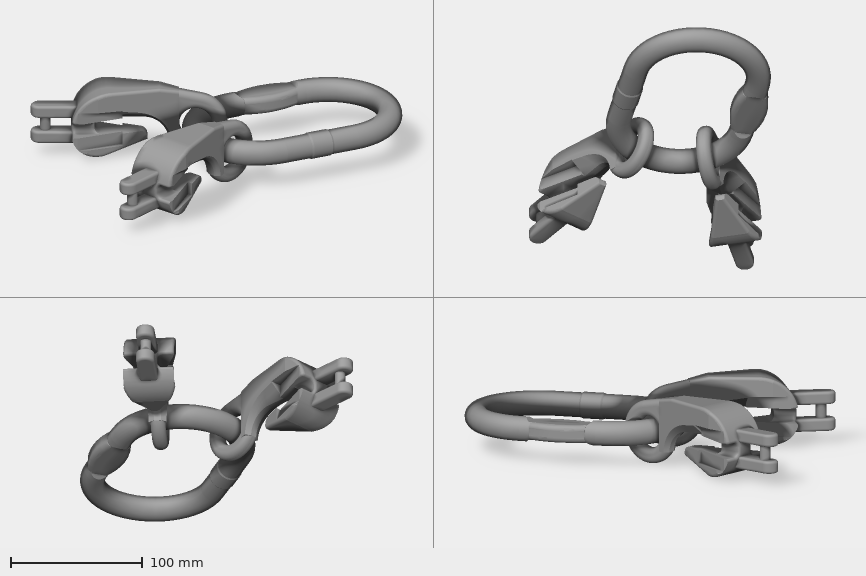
import cadquery as cq
import math

ROD_DIA = 19.0
RING_BEND_RADIUS = 47.0
RING_STRAIGHT = 60.0
COLLAR_DIA = 20.3
COLLAR_LENGTH = 18.2
COLLAR_TAPER = 1.3
FLAT_HEIGHT = 7.0
FLAT_LENGTH = 46.0
FLAT_RAMP = 3.2
SWELL_LENGTH = 44.0
SWELL_WIDTH = 27.3
SWELL_FILLET = 4.3

HOOK_TURN = 25.0
PIN_X = 78.5
PIN_Y = -170.5

EYE_X = 114.3
EYE_RADIUS = 24.4
EYE_BAR_WIDTH = 11.2
EYE_BAR_DEPTH = 12.0
EYE_FILLET = 4.8

HEAD_WIDTH = 38.8
HEAD_FRONT = 19.8
ARM_TAPER_X = 40.2
NECK_X = 101.7
TOP = 30.5
TOP_FRONT_X = 50.0
TOP_BACK_X = 87.0
EDGE_FILLET = 2.5

JAW_BOTTOM = -22.8
JAW_FRONT_RADIUS = 21.5
JAW_HEEL_X = 44.2
JAW_TIP_X = 77.5
JAW_TIP_BOTTOM = -13.5
JAW_TIP_ROUND = 5.0
JAW_TAPER_X = 32.0
JAW_TIP_WIDTH = 7.0

SLOT_HEIGHT = 11.0
SLOT_HALF = SLOT_HEIGHT / 2
SLOT_END_X = 37.5
SLOT_CORNER = 4.0
THROAT_X = 75.5
THROAT_MIDDLE = (88.3, -0.3)
THROAT_END_X = 93.7
BRIDGE_WIDTH = 14.0
BRIDGE_FILLET = 3.7

POCKET_HALF = 15.5
POCKET_FRONT = (24.0, 19.5)
POCKET_BACK = (59.0, 6.0)
JAW_POCKET_BACK_X = 57.5
JAW_POCKET_CURVE = (49.5, -12.8)
JAW_POCKET_FLOOR_BACK_X = 44.2

FLANK_INNER_Y = 2.7
FLANK_OUTER_Y = 16.0
FLANK_X = 65.5
FLANK_MIDDLE = (90.5, 8.0)
FLANK_END = (101.7, -14.7)
LIP_FILLET = 2.0

EAR_WIDTH = 14.0
EAR_TIP_X = -4.0
EAR_ROOT_X = 26.8
EAR_OUTER = 15.3
EAR_FILLET = 2.1
PIN_DIA = 8.0

SIDEWAYS = HEAD_WIDTH
SIN_45 = math.sin(math.radians(45))


def make_ring():
    """Bent rod with a collar on one leg and a flattened, bulging stretch on the other."""
    half_leg = RING_STRAIGHT / 2
    path = (
        cq.Workplane("XY")
        .moveTo(RING_BEND_RADIUS, -half_leg)
        .lineTo(RING_BEND_RADIUS, half_leg)
        .threePointArc((0, half_leg + RING_BEND_RADIUS), (-RING_BEND_RADIUS, half_leg))
        .lineTo(-RING_BEND_RADIUS, -half_leg)
        .threePointArc((0, -half_leg - RING_BEND_RADIUS), (RING_BEND_RADIUS, -half_leg))
        .close()
    )
    rod = cq.Workplane("XZ", origin=(RING_BEND_RADIUS, -half_leg, 0)).circle(ROD_DIA / 2)
    ring = rod.sweep(path)
    ring = ring.union(make_collar()).cut(make_flat(1)).cut(make_flat(-1))
    return ring.union(make_swell())


def make_collar():
    """Raised band with tapered ends around the +X leg."""
    half = COLLAR_LENGTH / 2
    rod_radius = ROD_DIA / 2
    collar_radius = COLLAR_DIA / 2
    return (
        cq.Workplane("XY")
        .polyline([
            (0, -half), (rod_radius, -half), (collar_radius, COLLAR_TAPER - half),
            (collar_radius, half - COLLAR_TAPER), (rod_radius, half), (0, half),
        ])
        .close()
        .revolve(360, (0, 0, 0), (0, 1, 0))
        .translate((RING_BEND_RADIUS, 0, 0))
    )


def make_swell():
    """Lens-shaped plate with rounded sides, as thick as the flattened rod."""
    half = SWELL_LENGTH / 2
    rod_radius = ROD_DIA / 2
    plate = (
        cq.Workplane("XY", origin=(0, 0, -FLAT_HEIGHT))
        .moveTo(rod_radius, -half)
        .threePointArc((SWELL_WIDTH / 2, 0), (rod_radius, half))
        .lineTo(-rod_radius, half)
        .threePointArc((-SWELL_WIDTH / 2, 0), (-rod_radius, -half))
        .close()
        .extrude(2 * FLAT_HEIGHT)
    )
    plate = plate.edges("%CIRCLE").fillet(SWELL_FILLET)
    return plate.translate((-RING_BEND_RADIUS, 0, 0))


def make_flat(side):
    """Cutter for one flat, with sloping ends."""
    half = FLAT_LENGTH / 2
    above = ROD_DIA
    slope = FLAT_RAMP / (ROD_DIA / 2 - FLAT_HEIGHT)
    outer_half = half + slope * (above - FLAT_HEIGHT)
    return (
        cq.Workplane("YZ")
        .polyline([
            (-half, side * FLAT_HEIGHT), (half, side * FLAT_HEIGHT),
            (outer_half, side * above), (-outer_half, side * above),
        ])
        .close()
        .extrude(SWELL_WIDTH, both=True)
        .translate((-RING_BEND_RADIUS, 0, 0))
    )


def back_tangent_angle():
    """Angle on the eye rim where the sloping back of the arm touches it."""
    run = TOP_BACK_X - EYE_X
    return math.atan2(TOP, run) - math.acos(EYE_RADIUS / math.hypot(run, TOP))


def throat_end():
    """Point where the throat runs into the rim of the eye."""
    return THROAT_END_X, -math.sqrt(EYE_RADIUS**2 - (EYE_X - THROAT_END_X)**2)


def make_eye():
    """Rounded eye with the straight neck that runs from its rim up into the arm."""
    angle = back_tangent_angle()
    end_x, end_z = throat_end()
    middle = 1 - EYE_BAR_DEPTH / 2 / EYE_RADIUS
    eye = (
        cq.Workplane("XZ", origin=(0, EYE_BAR_WIDTH / 2, 0))
        .moveTo(TOP_BACK_X, TOP)
        .lineTo(EYE_X + EYE_RADIUS * math.cos(angle), EYE_RADIUS * math.sin(angle))
        .threePointArc((EYE_X + EYE_RADIUS, 0), (end_x, end_z))
        .lineTo(EYE_X + middle * (end_x - EYE_X), middle * end_z)
        .close()
        .extrude(EYE_BAR_WIDTH)
    )
    hole = (
        cq.Workplane("XZ", origin=(EYE_X, EYE_BAR_WIDTH / 2, 0))
        .circle(EYE_RADIUS - EYE_BAR_DEPTH)
        .extrude(EYE_BAR_WIDTH)
    )
    rims = cq.selectors.BoxSelector((NECK_X, -SIDEWAYS, -2 * TOP), (2 * EYE_X, SIDEWAYS, 2 * TOP))
    return eye.cut(hole).faces("|Y").edges(rims).fillet(EYE_FILLET)


def slot_corner_middle():
    """Halfway point on the upper rounding in the end of the slot."""
    inset = SLOT_CORNER * (1 - SIN_45)
    return SLOT_END_X + inset, SLOT_HALF - inset


def tapered_block(start_x, end_x, end_width):
    """Tall block as wide as the head, its sides converging from start_x to end_x."""
    half = HEAD_WIDTH / 2
    end_half = end_width / 2
    return (
        cq.Workplane("XY")
        .polyline([
            (HEAD_FRONT, half), (start_x, half), (end_x, end_half),
            (end_x, -end_half), (start_x, -half), (HEAD_FRONT, -half),
        ])
        .close()
        .extrude(2 * TOP, both=True)
    )


def make_arm():
    """Upper half of the head and the arm behind it, above the slot and the throat."""
    corner_x, corner_z = slot_corner_middle()
    front_radius = TOP_FRONT_X - HEAD_FRONT
    front_z = TOP - front_radius
    neck_top = TOP - (NECK_X - TOP_BACK_X) / math.tan(back_tangent_angle())
    outline = (
        cq.Workplane("XZ")
        .moveTo(HEAD_FRONT, 0)
        .lineTo(HEAD_FRONT, front_z)
        .threePointArc(
            (TOP_FRONT_X - front_radius * SIN_45, front_z + front_radius * SIN_45),
            (TOP_FRONT_X, TOP),
        )
        .lineTo(TOP_BACK_X, TOP)
        .lineTo(NECK_X, neck_top)
        .lineTo(NECK_X, throat_end()[1])
        .lineTo(*throat_end())
        .threePointArc(THROAT_MIDDLE, (THROAT_X, SLOT_HALF))
        .lineTo(SLOT_END_X + SLOT_CORNER, SLOT_HALF)
        .threePointArc((corner_x, corner_z), (SLOT_END_X, SLOT_HALF - SLOT_CORNER))
        .lineTo(SLOT_END_X, 0)
        .close()
        .extrude(SIDEWAYS, both=True)
    )
    arm = outline.intersect(tapered_block(ARM_TAPER_X, NECK_X, EYE_BAR_WIDTH))
    top_edges = cq.selectors.BoxSelector((0, -SIDEWAYS, POCKET_HALF), (NECK_X, SIDEWAYS, 2 * TOP))
    arm = arm.edges("not (|Y or |Z)").edges(top_edges).fillet(EDGE_FILLET)
    flank = make_flank()
    return arm.cut(flank).cut(flank.mirror("XZ"))


def make_jaw():
    """Lower half of the head, ending in a narrow tip."""
    corner_x, corner_z = slot_corner_middle()
    centre_x = HEAD_FRONT + JAW_FRONT_RADIUS
    centre_z = JAW_BOTTOM + JAW_FRONT_RADIUS
    outline = (
        cq.Workplane("XZ")
        .moveTo(HEAD_FRONT, 0)
        .lineTo(HEAD_FRONT, centre_z)
        .threePointArc(
            (centre_x - JAW_FRONT_RADIUS * SIN_45, centre_z - JAW_FRONT_RADIUS * SIN_45),
            (centre_x, JAW_BOTTOM),
        )
        .lineTo(JAW_HEEL_X, JAW_BOTTOM)
        .lineTo(JAW_TIP_X, JAW_TIP_BOTTOM)
        .lineTo(JAW_TIP_X, -SLOT_HALF - JAW_TIP_ROUND)
        .radiusArc((JAW_TIP_X - JAW_TIP_ROUND, -SLOT_HALF), -JAW_TIP_ROUND)
        .lineTo(SLOT_END_X + SLOT_CORNER, -SLOT_HALF)
        .threePointArc((corner_x, -corner_z), (SLOT_END_X, SLOT_CORNER - SLOT_HALF))
        .lineTo(SLOT_END_X, 0)
        .close()
        .extrude(SIDEWAYS, both=True)
    )
    jaw = outline.intersect(tapered_block(JAW_TAPER_X, JAW_TIP_X, JAW_TIP_WIDTH))
    bottom_edges = cq.selectors.BoxSelector(
        (0, -SIDEWAYS, 2 * JAW_BOTTOM), (JAW_TIP_X, SIDEWAYS, JAW_TIP_BOTTOM)
    )
    return jaw.edges("not (|Y or |Z)").edges(bottom_edges).fillet(EDGE_FILLET)


def make_side_channels():
    """Cutter that leaves only the bridge between arm and jaw at the front."""
    channels = cq.Workplane("XY")
    length = 2 * (SLOT_END_X + SLOT_CORNER)
    for side in (1, -1):
        channel = (
            cq.Workplane("XY", origin=(0, side * (BRIDGE_WIDTH / 2 + SIDEWAYS / 2), 0))
            .box(length, SIDEWAYS, SLOT_HEIGHT)
            .faces("<Y" if side > 0 else ">Y")
            .edges("|X")
            .fillet(BRIDGE_FILLET)
        )
        channels = channels.union(channel)
    return channels


def pocket_plan():
    """Tall block beside the oblique pocket wall, on both sides of the hook."""
    block = cq.Workplane("XY")
    for side in (1, -1):
        half_plan = (
            cq.Workplane("XY")
            .polyline([
                (POCKET_FRONT[0], side * POCKET_FRONT[1]),
                (POCKET_BACK[0], side * POCKET_BACK[1]),
                (NECK_X, side * POCKET_BACK[1]),
                (NECK_X, side * SIDEWAYS),
                (POCKET_FRONT[0], side * SIDEWAYS),
            ])
            .close()
            .extrude(2 * TOP, both=True)
        )
        block = block.union(half_plan)
    return block


def make_arm_pockets():
    """Cutter for the recesses beside the slot in the underside of the arm."""
    profile = cq.Workplane("XZ").rect(2 * POCKET_BACK[0], 2 * POCKET_HALF).extrude(SIDEWAYS, both=True)
    return profile.intersect(pocket_plan())


def make_jaw_pockets():
    """Cutter for the matching recesses in the top of the jaw, with curved back ends."""
    profile = (
        cq.Workplane("XZ")
        .moveTo(0, -SLOT_HALF)
        .lineTo(0, -POCKET_HALF)
        .lineTo(JAW_POCKET_FLOOR_BACK_X, -POCKET_HALF)
        .threePointArc(JAW_POCKET_CURVE, (JAW_POCKET_BACK_X, -SLOT_HALF))
        .close()
        .extrude(SIDEWAYS, both=True)
    )
    return profile.intersect(pocket_plan())


def make_flank():
    """Cutter that slopes the underside of the arm up towards its -Y side."""
    return (
        cq.Workplane("XZ", origin=(0, -FLANK_INNER_Y, 0))
        .moveTo(POCKET_BACK[0], SLOT_HALF)
        .lineTo(THROAT_X, SLOT_HALF)
        .threePointArc(THROAT_MIDDLE, throat_end())
        .lineTo(POCKET_BACK[0], throat_end()[1])
        .close()
        .workplane(offset=FLANK_OUTER_Y - FLANK_INNER_Y)
        .moveTo(POCKET_BACK[0], POCKET_HALF)
        .lineTo(FLANK_X, POCKET_HALF)
        .threePointArc(FLANK_MIDDLE, FLANK_END)
        .lineTo(POCKET_BACK[0], FLANK_END[1])
        .close()
        .loft(ruled=True)
    )


def make_ears():
    """Two clevis ears with rounded ends and edges."""
    half = EAR_WIDTH / 2
    ears = cq.Workplane("XY")
    for bottom in (SLOT_HALF, -EAR_OUTER):
        ear = (
            cq.Workplane("XY", origin=(0, 0, bottom))
            .moveTo(EAR_ROOT_X, half)
            .lineTo(EAR_TIP_X, half)
            .threePointArc((EAR_TIP_X - half, 0), (EAR_TIP_X, -half))
            .lineTo(EAR_ROOT_X, -half)
            .close()
            .extrude(EAR_OUTER - SLOT_HALF)
            .faces("|Z")
            .edges()
            .fillet(EAR_FILLET)
        )
        ears = ears.union(ear)
    return ears


def make_hook():
    """One hook with eye, arm, jaw and clevis ears, bored for its pin."""
    head = make_arm().union(make_jaw()).cut(make_side_channels())
    lips = cq.selectors.BoxSelector(
        (0, -SIDEWAYS, -SLOT_HEIGHT), (POCKET_FRONT[0], SIDEWAYS, SLOT_HEIGHT)
    )
    head = head.edges("|Y").edges(lips).fillet(LIP_FILLET)
    head = head.cut(make_arm_pockets()).cut(make_jaw_pockets())
    pin_hole = cq.Workplane("XY").circle(PIN_DIA / 2).extrude(EAR_OUTER, both=True)
    return head.union(make_eye()).union(make_ears()).cut(pin_hole)


def make_pin():
    """Clevis pin, flush with the outside of both ears."""
    return cq.Workplane("XY", origin=(0, 0, -EAR_OUTER)).circle(PIN_DIA / 2).extrude(2 * EAR_OUTER)


def place(body, side):
    """Move a body from the hook's frame to the -X (side = -1) or +X (side = 1) leg."""
    turned = body.rotate((0, 0, 0), (0, 0, 1), 90 + side * HOOK_TURN)
    return turned.translate((side * PIN_X, PIN_Y, 0))


ring = make_ring()
hooks = [place(make_hook(), side) for side in (-1, 1)]
pins = [place(make_pin(), side) for side in (-1, 1)]

result = cq.Compound.makeCompound([
    *ring.solids().vals(),
    *[hook.solids().val() for hook in hooks],
    *[pin.solids().val() for pin in pins],
])